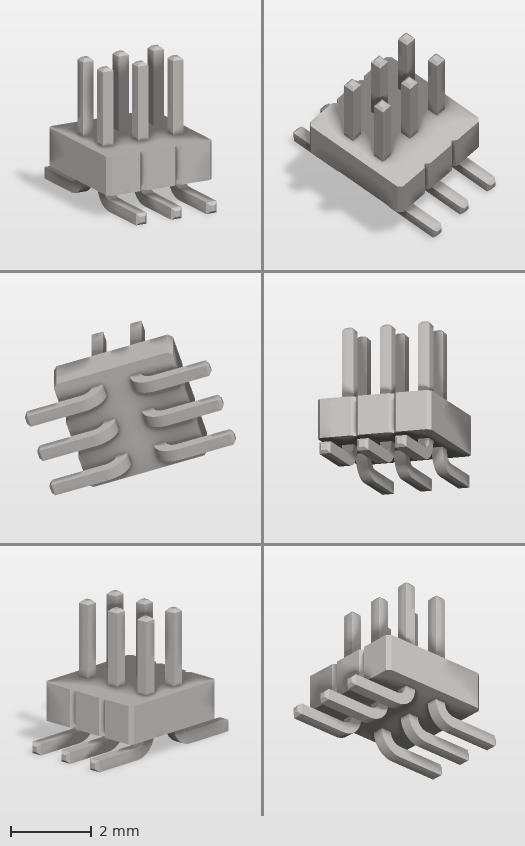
import cadquery as cq
import math

overall_length = 4.8
overall_height = 3.6
rows = 3
body_depth = 3.0
body_length = 3.1
standoff = 0.6
corner_cut_x = 0.105
corner_cut_y = 0.095

pitch = body_depth / rows
body_height = pitch
pin_size = standoff / 2
half_pin = pin_size / 2
tip_taper = pin_size / 4
bend_outer = standoff
bend_inner = bend_outer - pin_size
pin_x = pitch / 2
row_places = [(row - (rows - 1) / 2) * pitch for row in range(rows)]


def housing_cell():
    """One pin position of the housing: a block with its four upright edges cut."""
    half_length = body_length / 2
    half_pitch = pitch / 2
    inset_x = half_length - corner_cut_x
    inset_y = half_pitch - corner_cut_y
    outline = [
        (-inset_x, -half_pitch),
        (inset_x, -half_pitch),
        (half_length, -inset_y),
        (half_length, inset_y),
        (inset_x, half_pitch),
        (-inset_x, half_pitch),
        (-half_length, inset_y),
        (-half_length, -inset_y),
    ]
    return (
        cq.Workplane("XY", origin=(0, 0, standoff))
        .polyline(outline)
        .close()
        .extrude(body_height)
    )


def bent_pin():
    """The pin on the +X side: a straight post that bends outward into a flat lead."""
    post_inner = pin_x - half_pin
    post_outer = pin_x + half_pin
    bend_center_x = post_inner + bend_outer
    lead_end = overall_length / 2
    diagonal = math.sqrt(0.5)

    def bend_middle(radius):
        return (bend_center_x - radius * diagonal, standoff - radius * diagonal)

    pin = (
        cq.Workplane("XZ")
        .moveTo(post_inner, overall_height)
        .lineTo(post_inner, standoff)
        .threePointArc(bend_middle(bend_outer), (bend_center_x, 0))
        .lineTo(lead_end, 0)
        .lineTo(lead_end, pin_size)
        .lineTo(bend_center_x, pin_size)
        .threePointArc(bend_middle(bend_inner), (post_outer, standoff))
        .lineTo(post_outer, overall_height)
        .close()
        .extrude(half_pin, both=True)
    )
    pin = pin.faces(">Z").chamfer(tip_taper)
    return pin.faces(">X").chamfer(tip_taper)


right_pin = bent_pin()
left_pin = right_pin.mirror("YZ")
cell = housing_cell()

result = cq.Workplane("XY")
for y in row_places:
    for piece in (cell, right_pin, left_pin):
        result = result.union(piece.translate((0, y, 0)))
result = result.clean()